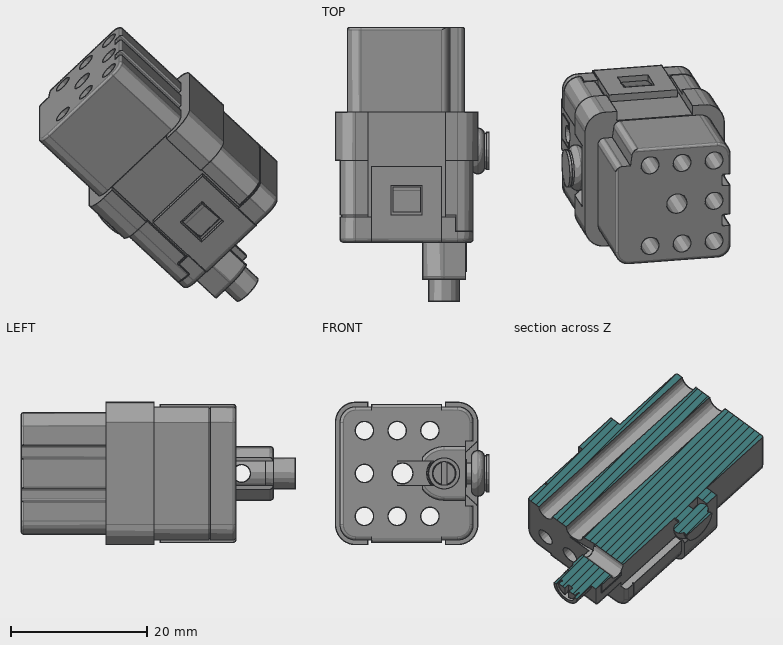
import cadquery as cq
import math


TOTAL_LENGTH = 40.3
SCREW_TIP_Y = -8.7
LUG_FRONT_Y = -5.5
INSERT_FRONT_Y = -4.3
INSERT_BACK_Y = 1.2
COLLAR_FRONT_Y = 12.05
COLLAR_BACK_Y = 19.15
MATING_END_Y = SCREW_TIP_Y + TOTAL_LENGTH

HOUSING_SIDE = 19.6
HOUSING_CORNER = 2.3
COLLAR_SIDE = 20.95
COLLAR_CORNER = 3.0
FRONT_ROUND = 0.5
CENTRE_LEVEL = 9.05
COLLAR_GAP_HALF = 5.7

JOINT_Y = 3.75
JOINT_WIDTH = 0.25
JOINT_DEPTH = 0.25
JOINT_SIDE_X = 7.3
JOINT_SIDE_Y = 1.57
JOINT_LINE = 0.1

PANEL_WIDTH = 10.3
PANEL_LENGTH = 11.15
PANEL_LEVEL = 10.15
WINDOW_WIDTH = 4.55
WINDOW_START_Y = 4.0
WINDOW_END_Y = 8.4
LATCH_WIDTH = 4.05
LATCH_FRONT_Y = 4.47
LATCH_CREST_Y = 7.6
LATCH_BACK_Y = 8.15
LATCH_FRONT_LEVEL = 9.47
LATCH_CREST_LEVEL = 10.05

BLOCK_LEFT_X = -8.7
BLOCK_RIGHT_X = 8.55
BLOCK_LEVEL = 8.95
BLOCK_CORNER = 1.97
BLOCK_END_ROUND = 0.35
GROOVE_CENTRE_Z = 3.15
GROOVE_WIDTH = 1.77
GROOVE_DEPTH = 1.3
GROOVE_ROUND = 0.25
KEY_START_X = 5.15
KEY_ROUND = 1.0
KEY_LEDGE_X = 6.35
KEY_LEDGE_LEVEL = 6.45
KEY_EDGE_ROUND = 0.95

CONTACT_SPAN_X = 9.65
CONTACT_LEFT_X = -6.2
CONTACT_SPAN_Z = 12.6
CONTACT_DIAMETER = 2.65
CENTRE_HOLE_X = -0.6
CENTRE_HOLE_DIAMETER = 3.02

LUG_AXIS_X = 5.52
LUG_RADIUS = 3.95
LUG_LEFT_X = 2.35
LUG_RIGHT_X = 8.65
LUG_SLOT_WIDTH = 3.6
LUG_CORE_RADIUS = 2.38
INSERT_RADIUS = 2.58
INSERT_PAD_WIDTH = 4.05
INSERT_PAD_HEIGHT = 0.12
WIRE_HOLE_Y = -0.8
WIRE_HOLE_DIAMETER = 2.58
RAMP_START_X = -1.35

SLEEVE_DIAMETER = 4.55
SLEEVE_BORE = 3.45
SCREW_DIAMETER = 3.25
SCREW_RECESS = 0.32
SCREW_SLOT_WIDTH = 0.75
SCREW_SLOT_DEPTH = 0.8

SIDE_SCREW_Y = 13.4
NECK_DIAMETER = 3.05
WASHER_START_X = 9.5
WASHER_END_X = 11.45
WASHER_DIAMETER = 6.75
HEAD_DIAMETER = 5.52
HEAD_START_X = 11.73
HEAD_NECK_DIAMETER = 5.25
OUTER_RIGHT_X = 12.15
POCKET_HALF_WIDTH = 4.8
POCKET_FLOOR_HALF_WIDTH = 3.1
POCKET_BACK_Y = 16.93

BLEND = 0.2


def section(y):
    """Plane across the plug at the given Y, with X to the right and Z up."""
    return cq.Workplane("XZ", origin=(0, y, 0))


def box(x0, x1, y0, y1, z0, z1):
    """Block between two opposite corners."""
    return cq.Workplane("XY").box(x1 - x0, y1 - y0, z1 - z0, centered=False).translate((x0, y0, z0))


def rounded_square(side, corner, y0, y1):
    """Square prism along Y with rounded long edges."""
    return section(y0).rect(side, side).extrude(y0 - y1).edges("|Y").fillet(corner)


def rod(x, z, diameter, y0, y1):
    """Cylinder along Y."""
    return section(y0).center(x, z).circle(diameter / 2).extrude(y0 - y1)


def on_both_faces(shape):
    """The shape together with its mirror image below the mid plane."""
    return shape.union(shape.mirror("XY"))


def housing():
    """Cap and skin with the raised collar, flattened between the collar halves."""
    half = COLLAR_SIDE / 2
    body = rounded_square(HOUSING_SIDE, HOUSING_CORNER, 0, COLLAR_BACK_Y)
    body = body.faces("<Y").edges().fillet(FRONT_ROUND)
    collar = rounded_square(COLLAR_SIDE, COLLAR_CORNER, COLLAR_FRONT_Y, COLLAR_BACK_Y)
    gap = box(-COLLAR_GAP_HALF, COLLAR_GAP_HALF, JOINT_Y, COLLAR_BACK_Y, CENTRE_LEVEL, half)
    return body.union(collar).cut(on_both_faces(gap))


def joint_ring(y, width):
    """Shallow ring that follows the housing outline."""
    inner_side = HOUSING_SIDE - 2 * JOINT_DEPTH
    outer = section(y).rect(COLLAR_SIDE, COLLAR_SIDE).extrude(-width)
    inner = rounded_square(inner_side, HOUSING_CORNER - JOINT_DEPTH, y, y + width)
    return outer.cut(inner)


def cap_joint():
    """Groove behind the cap, stepped forward on the +X side."""
    half = COLLAR_SIDE / 2
    joint_end = JOINT_Y + JOINT_WIDTH
    main = joint_ring(JOINT_Y, JOINT_WIDTH)
    main = main.intersect(box(-half, JOINT_SIDE_X, JOINT_Y, joint_end, -half, half))
    side = joint_ring(JOINT_SIDE_Y, JOINT_LINE)
    side = side.intersect(box(JOINT_SIDE_X, half, JOINT_SIDE_Y, joint_end, -half, half))
    floor_level = HOUSING_SIDE / 2 - JOINT_DEPTH
    link = box(JOINT_SIDE_X - JOINT_LINE, JOINT_SIDE_X, JOINT_SIDE_Y, joint_end, floor_level, half)
    return main.union(side).union(on_both_faces(link))


def latch_panels():
    """Raised panels, each with a window that shows a sloping latch."""
    base_level = CENTRE_LEVEL - BLEND
    half = PANEL_WIDTH / 2
    panel = box(-half, half, 0, PANEL_LENGTH, base_level, PANEL_LEVEL)
    panel = panel.faces("<Y").edges(">Z").fillet(FRONT_ROUND)
    half_window = WINDOW_WIDTH / 2
    window = box(-half_window, half_window, WINDOW_START_Y, WINDOW_END_Y, CENTRE_LEVEL, PANEL_LEVEL)
    latch = (
        cq.Workplane("YZ", origin=(-LATCH_WIDTH / 2, 0, 0))
        .moveTo(LATCH_FRONT_Y, base_level)
        .lineTo(LATCH_FRONT_Y, LATCH_FRONT_LEVEL)
        .lineTo(LATCH_CREST_Y, LATCH_CREST_LEVEL)
        .lineTo(LATCH_BACK_Y, LATCH_CREST_LEVEL)
        .lineTo(LATCH_BACK_Y, base_level)
        .close()
        .extrude(LATCH_WIDTH)
    )
    return on_both_faces(panel.cut(window).union(latch))


def side_groove(z):
    """Groove along the -X wall, with rounded mouth and floor corners."""
    mouth = BLOCK_LEFT_X
    floor = mouth + GROOVE_DEPTH
    half = GROOVE_WIDTH / 2
    r = GROOVE_ROUND
    s = r * math.sqrt(0.5)
    return (
        section(COLLAR_BACK_Y)
        .center(0, z)
        .moveTo(mouth, half + r)
        .threePointArc((mouth + r - s, half + r - s), (mouth + r, half))
        .lineTo(floor - r, half)
        .threePointArc((floor - r + s, half - r + s), (floor, half - r))
        .lineTo(floor, r - half)
        .threePointArc((floor - r + s, r - half - s), (floor - r, -half))
        .lineTo(mouth + r, -half)
        .threePointArc((mouth + r - s, s - r - half), (mouth, -half - r))
        .close()
        .extrude(COLLAR_BACK_Y - MATING_END_Y)
    )


def mating_block():
    """Contact block with two grooves on one side and a keying step at one corner."""
    start = COLLAR_BACK_Y - BLEND
    width = BLOCK_RIGHT_X - BLOCK_LEFT_X
    centre_x = (BLOCK_RIGHT_X + BLOCK_LEFT_X) / 2
    block = (
        section(start)
        .center(centre_x, 0)
        .rect(width, 2 * BLOCK_LEVEL)
        .extrude(start - MATING_END_Y)
        .edges("|Y")
        .fillet(BLOCK_CORNER)
        .faces(">Y")
        .edges()
        .fillet(BLOCK_END_ROUND)
    )
    for z in (GROOVE_CENTRE_Z, -GROOVE_CENTRE_Z):
        block = block.cut(side_groove(z))
    return block.cut(key_step())


def key_step():
    """Space removed above the keying ledge."""
    arc_end_x = KEY_START_X + KEY_ROUND
    arc_end_z = BLOCK_LEVEL - KEY_ROUND
    s = KEY_ROUND * math.sqrt(0.5)
    e = KEY_EDGE_ROUND * math.sqrt(0.5)
    round_x = BLOCK_RIGHT_X - KEY_EDGE_ROUND
    round_z = KEY_LEDGE_LEVEL - KEY_EDGE_ROUND
    clear = COLLAR_SIDE / 2
    return (
        section(COLLAR_BACK_Y)
        .moveTo(KEY_START_X, BLOCK_LEVEL)
        .threePointArc((KEY_START_X + s, arc_end_z + s), (arc_end_x, arc_end_z))
        .lineTo(KEY_LEDGE_X, KEY_LEDGE_LEVEL)
        .lineTo(round_x, KEY_LEDGE_LEVEL)
        .threePointArc((round_x + e, round_z + e), (BLOCK_RIGHT_X, round_z))
        .lineTo(clear, round_z)
        .lineTo(clear, clear)
        .lineTo(KEY_START_X, clear)
        .close()
        .extrude(COLLAR_BACK_Y - MATING_END_Y)
    )


def contact_holes():
    """Seven contact passages and the larger centre passage."""
    centres = [(CONTACT_LEFT_X, 0)]
    for column in range(3):
        x = CONTACT_LEFT_X + column * CONTACT_SPAN_X / 2
        centres += [(x, CONTACT_SPAN_Z / 2), (x, -CONTACT_SPAN_Z / 2)]
    holes = rod(CENTRE_HOLE_X, 0, CENTRE_HOLE_DIAMETER, 0, MATING_END_Y)
    for x, z in centres:
        holes = holes.union(rod(x, z, CONTACT_DIAMETER, 0, MATING_END_Y))
    return holes


def grounding_lug():
    """Slotted lug around a metal insert, with the sleeve of the clamping screw."""
    lug = (
        section(LUG_FRONT_Y)
        .moveTo(LUG_AXIS_X, 0)
        .circle(LUG_RADIUS)
        .extrude(LUG_FRONT_Y - BLEND)
        .union(box(LUG_AXIS_X, 2 * LUG_RIGHT_X, LUG_FRONT_Y, BLEND, -LUG_RADIUS, LUG_RADIUS))
        .faces("<Y")
        .edges()
        .fillet(FRONT_ROUND)
        .intersect(box(LUG_LEFT_X, LUG_RIGHT_X, LUG_FRONT_Y, BLEND, -LUG_RADIUS, LUG_RADIUS))
    )
    half_slot = LUG_SLOT_WIDTH / 2
    slot = box(LUG_LEFT_X, LUG_AXIS_X, LUG_FRONT_Y, BLEND, -half_slot, half_slot)
    half_pad = INSERT_PAD_WIDTH / 2
    pad_right = LUG_RIGHT_X + INSERT_PAD_HEIGHT
    pad = box(LUG_AXIS_X, pad_right, INSERT_FRONT_Y, 0, -half_pad, half_pad)
    lug = lug.cut(slot)
    lug = lug.union(rod(LUG_AXIS_X, 0, 2 * LUG_CORE_RADIUS, LUG_FRONT_Y, INSERT_BACK_Y))
    lug = lug.union(rod(LUG_AXIS_X, 0, 2 * INSERT_RADIUS, INSERT_FRONT_Y, INSERT_BACK_Y))
    lug = lug.union(pad)
    return lug.union(rod(LUG_AXIS_X, 0, SLEEVE_DIAMETER, SCREW_TIP_Y, BLEND))


def clamping_screw_recess():
    """Bore in the sleeve, left open around the recessed screw and in its driver slot."""
    floor_y = SCREW_TIP_Y + SCREW_RECESS
    slot_end_y = floor_y + SCREW_SLOT_DEPTH
    half_slot = SCREW_SLOT_WIDTH / 2
    half_bore = SLEEVE_BORE / 2
    slot = box(LUG_AXIS_X - half_slot, LUG_AXIS_X + half_slot, floor_y, slot_end_y, -half_bore, half_bore)
    screw = rod(LUG_AXIS_X, 0, SCREW_DIAMETER, floor_y, slot_end_y).cut(slot)
    return rod(LUG_AXIS_X, 0, SLEEVE_BORE, SCREW_TIP_Y, slot_end_y).cut(screw)


def wire_hole():
    """Cross hole from the slot through the insert to the +X side."""
    start_x = LUG_AXIS_X - INSERT_RADIUS
    return (
        cq.Workplane("YZ", origin=(start_x, WIRE_HOLE_Y, 0))
        .circle(WIRE_HOLE_DIAMETER / 2)
        .extrude(OUTER_RIGHT_X - start_x)
    )


def wire_ramp():
    """Ramp in the wiring face that meets the insert level with the far side of the wire hole."""
    depth_at_insert = WIRE_HOLE_Y + WIRE_HOLE_DIAMETER / 2
    slope = depth_at_insert / (LUG_AXIS_X - INSERT_RADIUS - RAMP_START_X)
    return (
        cq.Workplane("XY", origin=(0, 0, -LUG_SLOT_WIDTH / 2))
        .moveTo(RAMP_START_X, 0)
        .lineTo(LUG_AXIS_X, 0)
        .lineTo(LUG_AXIS_X, slope * (LUG_AXIS_X - RAMP_START_X))
        .close()
        .extrude(LUG_SLOT_WIDTH)
    )


def side_pocket():
    """Pocket in the +X wall, with walls that flare outwards inside the collar."""
    outer_x = COLLAR_SIDE / 2
    front = box(LUG_RIGHT_X, outer_x, 0, COLLAR_FRONT_Y, -POCKET_HALF_WIDTH, POCKET_HALF_WIDTH)
    flared = (
        section(COLLAR_FRONT_Y)
        .moveTo(LUG_RIGHT_X, -POCKET_FLOOR_HALF_WIDTH)
        .lineTo(outer_x, -POCKET_HALF_WIDTH)
        .lineTo(outer_x, POCKET_HALF_WIDTH)
        .lineTo(LUG_RIGHT_X, POCKET_FLOOR_HALF_WIDTH)
        .close()
        .extrude(COLLAR_FRONT_Y - POCKET_BACK_Y)
    )
    return front.union(flared)


def side_disc(x0, x1, diameter):
    """Disc about the axis of the side screw."""
    return cq.Workplane("YZ", origin=(x0, SIDE_SCREW_Y, 0)).circle(diameter / 2).extrude(x1 - x0)


def side_screw():
    """Neck, fully rounded washer and flat head."""
    edge_radius = (WASHER_END_X - WASHER_START_X) / 2
    ring_radius = WASHER_DIAMETER / 2 - edge_radius
    ring_centre = cq.Vector(WASHER_START_X + edge_radius, SIDE_SCREW_Y, 0)
    ring = cq.Solid.makeTorus(ring_radius, edge_radius, ring_centre, cq.Vector(1, 0, 0))
    neck = side_disc(LUG_RIGHT_X - BLEND, WASHER_START_X + BLEND, NECK_DIAMETER)
    washer = side_disc(WASHER_START_X, WASHER_END_X, 2 * ring_radius).union(cq.Workplane(ring))
    head_neck = side_disc(WASHER_END_X - BLEND, HEAD_START_X, HEAD_NECK_DIAMETER)
    head = side_disc(HEAD_START_X, OUTER_RIGHT_X, HEAD_DIAMETER)
    return neck.union(washer).union(head_neck).union(head)


result = (
    housing()
    .cut(cap_joint())
    .union(latch_panels())
    .cut(side_pocket())
    .union(mating_block())
    .cut(contact_holes())
    .cut(wire_ramp())
    .union(grounding_lug())
    .cut(clamping_screw_recess())
    .cut(wire_hole())
    .union(side_screw())
)